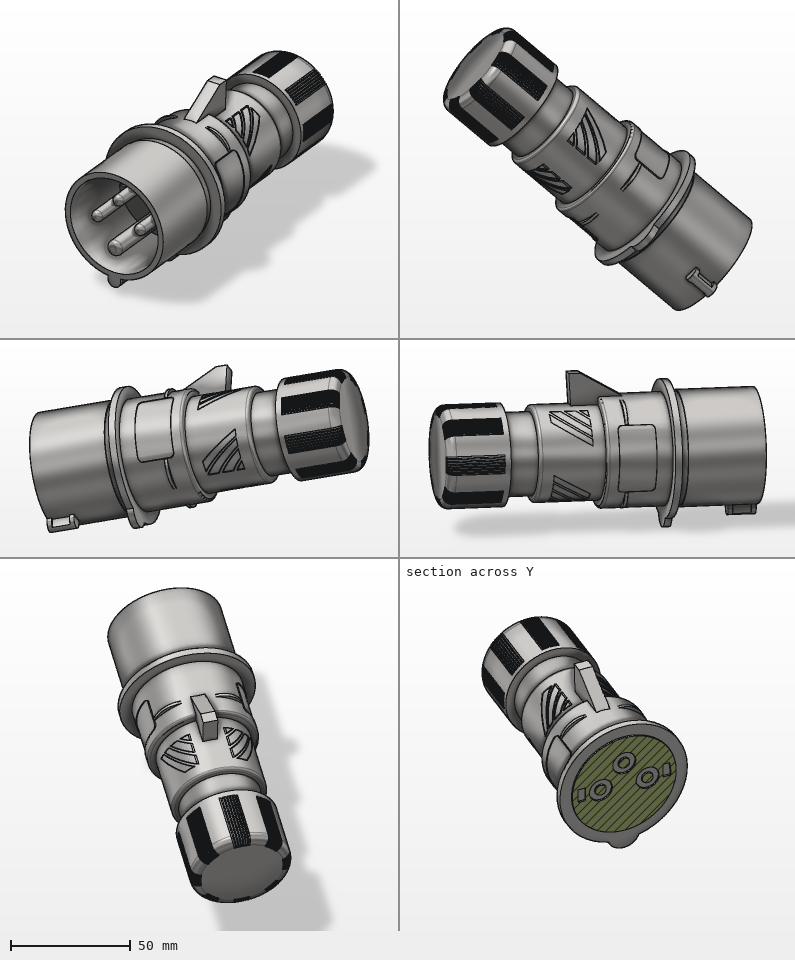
import cadquery as cq
import math


cap_back, cap_front = 135.2, 108.3
body_back, collar_back = 95.9, 67.6
flange_back, flange_front = 39.7, 36.7
shell_back = 33.2
cavity_floor = 35.4

cap_radius = 21.8
neck_radius = 17.7
body_radius = 20.5
collar_radius = 24.0
flange_radius = 29.2
shell_radius = 24.6

cap_rounding = 3.7
body_rounding = 1.4
collar_rounding = 1.1

mouth_radius, floor_radius = 22.0, 21.2

lobe_radius, lobe_drop = 7.5, 33.2

key_length, key_width, key_drop = 12.0, 6.3, 29.1
key_end_length, key_slim_width = 2.0, 4.1

pin_offset = 10.7
live_places = [(-pin_offset, 0), (0, pin_offset), (pin_offset, 0)]
live_radius, live_tip, live_tip_flat = 2.6, 1.6, 0.5
earth_radius, earth_tip, earth_tip_flat = 3.5, -0.8, 1.6
pin_well_radius, pin_well_depth = 5.2, 1.4

floor_pocket_inner, floor_pocket_width, floor_pocket_depth = 17.8, 6.3, 1.4
left_pocket_height, right_pocket_height = 0.0, 1.6

lever_width, lever_top = 6.3, 34.0
lever_tip_back, lever_tip_front = 80.0, 75.1
lever_root_back, lever_root_front = 79.0, 57.3
lever_root_depth = 17.7

panel_back, panel_front = 62.4, 46.5
panel_height, panel_depth, panel_corner = 28.3, 0.4, 1.9

rib_back, rib_front = 59.2, 57.8
rib_inner_x, rib_outer_x, rib_height = 7.5, 19.0, 1.4

groove_groups, grooves_per_group = 8, 7
groove_pitch, groove_width, groove_depth, groove_front = 3.2, 0.7, 0.4, 110.8

stripe_back, stripe_front = 89.5, 72.9
stripe_top, stripe_slope, stripe_depth = 18.9, 0.57, 0.3
stripe_first, stripe_height, stripe_pitch, stripe_count = 6.0, 2.7, 3.7, 4


def cylinder(radius, y_from, y_to, x=0.0, z=0.0):
    """Cylinder parallel to the plug axis."""
    return cq.Workplane("XZ", origin=(x, y_to, z)).circle(radius).extrude(y_to - y_from)


def box(x_from, x_to, y_from, y_to, z_from, z_to):
    """Box between two opposite corners."""
    size = (x_to - x_from, y_to - y_from, z_to - z_from)
    return cq.Workplane("XY", origin=(x_from, y_from, z_from)).box(*size, centered=False)


def ring(outer, depth, y_from, y_to):
    """Thin skin reaching a given depth to both sides of a cylinder surface."""
    return cylinder(outer + depth, y_from, y_to).cut(cylinder(outer - depth, y_from, y_to))


def make_cap():
    cap = cylinder(cap_radius, cap_front, cap_back).faces(">Y").edges().fillet(cap_rounding)
    core = cylinder(cap_radius - groove_depth, groove_front, cap_back - groove_depth)
    core = core.faces(">Y").edges().fillet(cap_rounding - groove_depth)
    inner_reach = cap_radius - cap_rounding - groove_depth
    blade = box(-groove_width / 2, groove_width / 2, groove_front, cap_back,
                inner_reach, cap_radius + groove_depth).cut(core)
    middle = (grooves_per_group - 1) / 2
    cutters = []
    for group in range(groove_groups):
        for groove in range(grooves_per_group):
            angle = group * 360 / groove_groups + (groove - middle) * groove_pitch
            cutters.append(blade.rotate((0, 0, 0), (0, 1, 0), angle).val())
    return cap.cut(cq.Workplane(cq.Compound.makeCompound(cutters)))


def make_body():
    body = cylinder(body_radius, collar_back, body_back).faces(">Y").edges().fillet(body_rounding)
    return body.cut(make_stripes())


def make_stripes():
    """Slanted bands on both sides, point-symmetric about the middle of each side."""
    length = stripe_back - stripe_front
    drop = length * stripe_slope
    window = box(-body_radius, body_radius, stripe_front, stripe_back, -stripe_top, stripe_top)
    bands = cq.Workplane()
    for index in range(stripe_count):
        low = stripe_first + index * stripe_pitch
        corners = [
            (stripe_front, low),
            (stripe_back, low + drop),
            (stripe_back, low + drop + stripe_height),
            (stripe_front, low + stripe_height),
        ]
        band = cq.Workplane("YZ").polyline(corners).close().extrude(body_radius, both=True)
        bands = bands.add(band)
    upper = window.intersect(bands.combine())
    stripe_middle = (stripe_back + stripe_front) / 2
    lower = upper.rotate((0, stripe_middle, 0), (1, stripe_middle, 0), 180)
    return upper.union(lower).intersect(ring(body_radius, stripe_depth, stripe_front, stripe_back))


def make_collar():
    collar = cylinder(collar_radius, shell_back, collar_back)
    collar = collar.faces(">Y").edges().fillet(collar_rounding)
    panel_length = panel_back - panel_front
    panels = (
        cq.Workplane("YZ", origin=(0, (panel_back + panel_front) / 2, 0))
        .rect(panel_length, panel_height)
        .extrude(collar_radius + panel_depth, both=True)
        .edges("|X")
        .fillet(panel_corner)
    )
    return collar.cut(panels.intersect(ring(collar_radius, panel_depth, panel_front, panel_back)))


def make_ribs():
    """Four lens-shaped ribs, one in each quarter of the collar."""
    inner_end = (rib_inner_x, math.sqrt(collar_radius**2 - rib_inner_x**2))
    outer_end = (rib_outer_x, math.sqrt(collar_radius**2 - rib_outer_x**2))
    middle_angle = (math.atan2(*inner_end) + math.atan2(*outer_end)) / 2
    crest_radius = collar_radius + rib_height
    crest = (crest_radius * math.sin(middle_angle), crest_radius * math.cos(middle_angle))
    rib = (
        cq.Workplane("XZ", origin=(0, rib_back, 0))
        .moveTo(*inner_end)
        .threePointArc(crest, outer_end)
        .close()
        .extrude(rib_back - rib_front)
    )
    pair = rib.union(rib.mirror("YZ"))
    return pair.union(pair.mirror("XY"))


def make_flange():
    disc = cylinder(flange_radius, flange_front, flange_back)
    return disc.union(cylinder(lobe_radius, flange_front, flange_back, z=lobe_radius - lobe_drop))


def make_lever():
    slope_foot = math.sqrt(collar_radius**2 - (lever_width / 2)**2)
    outline = [
        (lever_tip_back, lever_top),
        (lever_root_back, lever_root_depth),
        (lever_root_front, lever_root_depth),
        (lever_root_front, slope_foot),
        (lever_tip_front, lever_top),
    ]
    return cq.Workplane("YZ").polyline(outline).close().extrude(lever_width / 2, both=True)


def make_key():
    half = key_width / 2
    centre_z = half - key_drop
    wall_middle = (shell_radius + mouth_radius) / 2
    key = cylinder(half, 0, key_length, z=centre_z)
    key = key.union(box(-half, half, 0, key_length, centre_z, -wall_middle))
    slim_from, slim_to = key_end_length, key_length - key_end_length
    for side in (-1, 1):
        x_near, x_far = sorted((side * key_slim_width / 2, side * half))
        key = key.cut(box(x_near, x_far, slim_from, slim_to, -key_drop, 0))
    return key


def make_cavity():
    cavity = (
        cq.Workplane("XY")
        .polyline([(0, 0), (mouth_radius, 0), (floor_radius, cavity_floor), (0, cavity_floor)])
        .close()
        .revolve(360, (0, 0, 0), (0, 1, 0))
    )
    well_bottom = cavity_floor + pin_well_depth
    for x, z in live_places:
        cavity = cavity.union(cylinder(pin_well_radius, cavity_floor, well_bottom, x, z))
    pocket_bottom = cavity_floor + floor_pocket_depth
    half = floor_pocket_width / 2
    pockets = box(-floor_radius, -floor_pocket_inner, cavity_floor, pocket_bottom,
                  left_pocket_height - half, left_pocket_height + half)
    pockets = pockets.union(box(floor_pocket_inner, floor_radius, cavity_floor, pocket_bottom,
                                right_pocket_height - half, right_pocket_height + half))
    return cavity.union(pockets.intersect(cylinder(floor_radius, cavity_floor, pocket_bottom)))


def make_pin(x, z, radius, tip, tip_flat):
    """Round-nosed pin rooted behind the cavity floor."""
    pin = cylinder(radius, tip, flange_back, x, z)
    return pin.faces("<Y").edges().fillet(radius - tip_flat)


result = cylinder(neck_radius, body_back - body_rounding, cap_front + body_rounding)
result = result.union(make_cap())
result = result.union(make_body())
result = result.union(make_collar())
result = result.union(make_flange())
result = result.union(cylinder(shell_radius, 0, shell_back))
result = result.union(make_ribs())
result = result.union(make_lever())
result = result.union(make_key())
result = result.cut(make_cavity())
for pin_x, pin_z in live_places:
    result = result.union(make_pin(pin_x, pin_z, live_radius, live_tip, live_tip_flat))
result = result.union(make_pin(0, -pin_offset, earth_radius, earth_tip, earth_tip_flat))